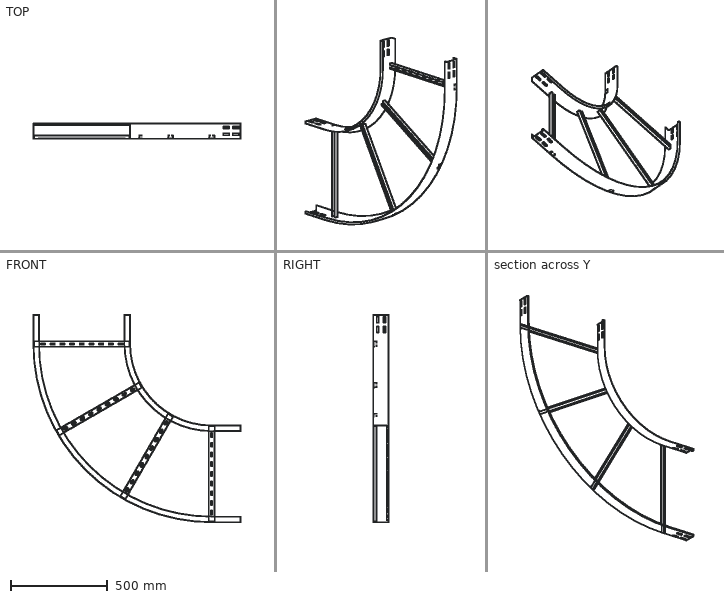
import cadquery as cq

TRAY_WIDTH = 500.0
OUTER_WEB_RADIUS = 920.0
INNER_WEB_RADIUS = OUTER_WEB_RADIUS - TRAY_WIDTH
BEND_ANGLE = 90.0
STRAIGHT_LENGTH = 150.0
SHEET = 1.5
RAIL_FOLD_RADIUS = 4.0

RAIL_HEIGHT = 80.0
FRONT_FLANGE = 30.0
BACK_FLANGE = 12.0
BACK_LIP = 10.0

SPLICE_SLOT_LENGTH = 30.0
SPLICE_SLOT_WIDTH = 9.0
SPLICE_SLOT_FROM_END = (25.0, 75.0)
SPLICE_SLOT_SPACING = 35.0
SPLICE_ROWS_CENTRE = 1.0

RUNG_COUNT = 4
RUNG_WIDTH = 30.0
RUNG_DEPTH = 16.0
RUNG_FOLD_RADIUS = 2.5
RUNG_END_GAP = 3.0
RUNG_LIP = 8.0
RUNG_SLOT_COUNT = 9
RUNG_SLOT_PITCH = 50.0
RUNG_SLOT_LENGTH = 20.0
RUNG_SLOT_WIDTH = 6.0
SLOT_CUTTER_DEPTH = 4 * SHEET
POINT_TOLERANCE = 1e-6

FRONT_Y = -RAIL_HEIGHT / 2
BACK_Y = RAIL_HEIGHT / 2


def round_corners(wire, points, radius):
    """Round the corners of the wire that lie at the given points."""
    corners = [
        vertex
        for vertex in wire.Vertices()
        if any((vertex.Center() - cq.Vector(*point)).Length < POINT_TOLERANCE for point in points)
    ]
    return wire.fillet2D(radius, corners)


def folded_section(outer_points, inner_points, fold_radius):
    """Closed section of folded sheet, rounding every corner but the four at its two free edges."""
    outline = [cq.Vector(*point) for point in outer_points + inner_points[::-1]]
    wire = cq.Wire.makePolygon(outline, close=True)
    wire = round_corners(wire, outer_points[1:-1], fold_radius)
    wire = round_corners(wire, inner_points[1:-1], fold_radius - SHEET)
    return cq.Workplane("XY").newObject([wire]).toPending()


def rail_section(web_radius, inward):
    """Rail section on the -X side of the bend axis; inward is the X direction the flanges point."""
    def place(points):
        return [(-web_radius + inward * depth, y) for depth, y in points]

    outer_points = [
        (FRONT_FLANGE, FRONT_Y),
        (0, FRONT_Y),
        (0, BACK_Y),
        (BACK_FLANGE, BACK_Y),
        (BACK_FLANGE, BACK_Y - BACK_LIP),
    ]
    inner_points = [
        (FRONT_FLANGE, FRONT_Y + SHEET),
        (SHEET, FRONT_Y + SHEET),
        (SHEET, BACK_Y - SHEET),
        (BACK_FLANGE - SHEET, BACK_Y - SHEET),
        (BACK_FLANGE - SHEET, BACK_Y - BACK_LIP),
    ]
    return folded_section(place(outer_points), place(inner_points), RAIL_FOLD_RADIUS)


def straight_end(web_radius, inward, direction):
    """Straight rail end running along Z in the given direction, with its splice slots."""
    end = rail_section(web_radius, inward).extrude(direction * STRAIGHT_LENGTH)
    for from_end in SPLICE_SLOT_FROM_END:
        for side in (-1, 1):
            slot = cq.Workplane("XY").box(SLOT_CUTTER_DEPTH, SPLICE_SLOT_WIDTH, SPLICE_SLOT_LENGTH)
            end = end.cut(slot.translate((
                -web_radius,
                SPLICE_ROWS_CENTRE + side * SPLICE_SLOT_SPACING / 2,
                direction * (STRAIGHT_LENGTH - from_end),
            )))
    return end


def turn(body, angle):
    """Turn a body about the bend axis, carrying the -X side towards -Z."""
    return body.rotate((0, 0, 0), (0, 1, 0), -angle)


def rail(web_radius, inward):
    """One side rail: a quarter-circle curve with a straight end at either side."""
    curve = rail_section(web_radius, inward).revolve(BEND_ANGLE, (0, 0, 0), (0, -1, 0))
    upper_end = straight_end(web_radius, inward, 1)
    lower_end = turn(straight_end(web_radius, inward, -1), BEND_ANGLE)
    return curve.union(upper_end).union(lower_end)


def rung():
    """Rung along X on the -X side: a lipped channel with a row of slots in its front face."""
    front = FRONT_Y + SHEET
    back = front + RUNG_DEPTH
    half = RUNG_WIDTH / 2
    outer_reach = OUTER_WEB_RADIUS - SHEET - RUNG_END_GAP
    inner_reach = INNER_WEB_RADIUS + SHEET + RUNG_END_GAP
    outer_points = [
        (half - RUNG_LIP, back),
        (half, back),
        (half, front),
        (-half, front),
        (-half, back),
        (-half + RUNG_LIP, back),
    ]
    inner_points = [
        (half - RUNG_LIP, back - SHEET),
        (half - SHEET, back - SHEET),
        (half - SHEET, front + SHEET),
        (-half + SHEET, front + SHEET),
        (-half + SHEET, back - SHEET),
        (-half + RUNG_LIP, back - SHEET),
    ]
    body = folded_section(outer_points, inner_points, RUNG_FOLD_RADIUS).extrude(outer_reach - inner_reach)
    body = body.rotate((0, 0, 0), (0, 1, 0), -90).translate((-inner_reach, 0, 0))
    middle = (OUTER_WEB_RADIUS + INNER_WEB_RADIUS) / 2
    for number in range(RUNG_SLOT_COUNT):
        offset = (number - (RUNG_SLOT_COUNT - 1) / 2) * RUNG_SLOT_PITCH
        slot = cq.Workplane("XY").box(RUNG_SLOT_LENGTH, SLOT_CUTTER_DEPTH, RUNG_SLOT_WIDTH)
        body = body.cut(slot.translate((-middle + offset, front, 0)))
    return body


outer_rail = rail(OUTER_WEB_RADIUS, 1)
inner_rail = rail(INNER_WEB_RADIUS, -1)
rungs = [turn(rung(), number * BEND_ANGLE / (RUNG_COUNT - 1)) for number in range(RUNG_COUNT)]

result = cq.Compound.makeCompound([
    outer_rail.val(),
    inner_rail.val(),
    *[body.val() for body in rungs],
])